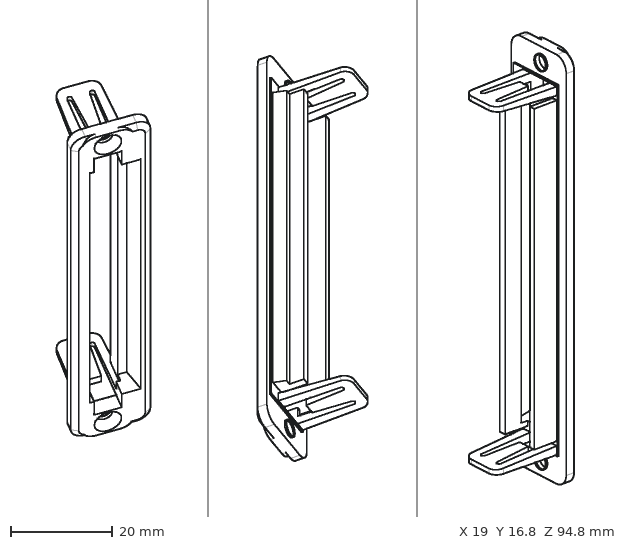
import cadquery as cq

plate_length = 94.8
plate_width = 16.8
plate_thickness = 2.9
corner_radius = 3.0
bevel_depth = 1.4
bevel_width = 0.9

axis_y = -0.9

hole_diameter = 3.3
hole_to_end = 3.4
rim_diameter = 3.7
sink_start = 0.9
sink_diameter = 5.7

land_width = 11.6
land_corner_radius = 3.3

pad_height = 0.4
pad_length = 81.9
pad_left_y = 7.3
pad_right_y = -6.2

narrow_width = 5.8
wide_width = 7.6
wide_length = 72.9

overall_depth = 19.0
arm_outer_z = 40.7
arm_tip_thickness = 1.1
arm_root_thickness = 2.0
arm_tip_width = 9.3
arm_root_width = 10.2
arm_tip_radius = 2.1
tongue_end = 11.5
tongue_root_width = 3.8
tongue_tip_width = 2.6
slot_start = 2.5
slot_radius = 0.5

rail_length = 75.3
rail_height = 5.9
rail_thickness = 1.3
stepped_rail_thickness = 1.6
step_height = 2.7
step_top_y = 5.8
step_base_y = 6.5

channel_depth = 4.9
channel_inner_y = 4.8
channel_mouth_y = 6.1

pad_x = -pad_height
rail_tip_x = pad_x - rail_height
step_x = pad_x - step_height
channel_x = plate_thickness - channel_depth
hole_z = plate_length / 2 - hole_to_end
arm_tip_x = plate_thickness - overall_depth
opening_left_y = axis_y + wide_width / 2
opening_right_y = axis_y - wide_width / 2


def box(x_range, y_range, z_range):
    """Block between two X, two Y and two Z positions."""
    (x0, x1), (y0, y1), (z0, z1) = x_range, y_range, z_range
    return cq.Workplane("XY").box(x1 - x0, y1 - y0, z1 - z0, centered=False).translate((x0, y0, z0))


def disc(diameter, x_start, x_end, z):
    """Cylinder along X on the hole axis at height z."""
    return (
        cq.Workplane("YZ", origin=(x_start, axis_y, z))
        .circle(diameter / 2)
        .extrude(x_end - x_start)
    )


def rounded_slab(width, radius):
    """Plate-long, plate-thick slab with rounded corners, centred on Y = 0 and Z = 0."""
    return (
        cq.Workplane("YZ")
        .rect(width, plate_length)
        .extrude(plate_thickness)
        .edges("|X")
        .fillet(radius)
    )


def make_plate():
    """Rounded plate with a bevelled front edge, with the land, hole rims and pad added."""
    blank = rounded_slab(plate_width, corner_radius)
    land = rounded_slab(land_width, land_corner_radius).translate((0, axis_y, 0))
    plate = blank.faces(">X").chamfer(bevel_width, bevel_depth).union(land)
    for z in (hole_z, -hole_z):
        plate = plate.union(disc(rim_diameter, pad_x, 0, z))
    pad = box((pad_x, 0), (pad_right_y, pad_left_y), (-pad_length / 2, pad_length / 2))
    return plate.union(pad)


def make_opening():
    """Through cut: a long narrow slot widened over its middle stretch."""
    depth = (pad_x, plate_thickness)
    narrow_sides = (axis_y - narrow_width / 2, axis_y + narrow_width / 2)
    narrow = box(depth, narrow_sides, (-arm_outer_z, arm_outer_z))
    wide = box(depth, (opening_right_y, opening_left_y), (-wide_length / 2, wide_length / 2))
    return narrow.union(wide)


def make_arm():
    """Upper snap arm: a tapered fork with a tongue between its two prongs."""
    side = (
        cq.Workplane("XZ", origin=(0, plate_width, 0))
        .moveTo(arm_tip_x, arm_outer_z)
        .lineTo(pad_x, arm_outer_z)
        .lineTo(pad_x, arm_outer_z - arm_root_thickness)
        .lineTo(arm_tip_x, arm_outer_z - arm_tip_thickness)
        .close()
        .extrude(2 * plate_width)
    )
    flat = cq.Workplane("XY", origin=(arm_tip_x, axis_y, 0))
    length = pad_x - arm_tip_x
    fork = (
        flat.moveTo(0, -arm_tip_width / 2)
        .lineTo(length, -arm_root_width / 2)
        .lineTo(length, arm_root_width / 2)
        .lineTo(0, arm_tip_width / 2)
        .close()
        .extrude(plate_length / 2)
        .edges("|Z and <X")
        .fillet(arm_tip_radius)
    )
    gap = (
        flat.moveTo(slot_start, -narrow_width / 2)
        .lineTo(length, -narrow_width / 2)
        .lineTo(length, narrow_width / 2)
        .lineTo(slot_start, narrow_width / 2)
        .lineTo(slot_start, tongue_root_width / 2)
        .lineTo(tongue_end, tongue_tip_width / 2)
        .lineTo(tongue_end, -tongue_tip_width / 2)
        .lineTo(slot_start, -tongue_root_width / 2)
        .close()
        .extrude(plate_length / 2)
        .edges("|Z and <X")
        .fillet(slot_radius)
    )
    return side.intersect(fork).cut(gap)


def prism(points, length):
    """Solid along Z, centred on Z = 0, whose XY section is the given outline."""
    return cq.Workplane("XY").polyline(points).close().extrude(length / 2, both=True)


def make_plain_rail():
    """Rectangular rail along the -Y side of the opening."""
    outer_y = opening_right_y - rail_thickness
    return prism(
        [
            (pad_x, opening_right_y),
            (rail_tip_x, opening_right_y),
            (rail_tip_x, outer_y),
            (pad_x, outer_y),
        ],
        rail_length,
    )


def make_stepped_rail():
    """Rail along the +Y side of the opening, with a wider foot on the pad."""
    outer_y = opening_left_y + stepped_rail_thickness
    return prism(
        [
            (pad_x, opening_left_y),
            (rail_tip_x, opening_left_y),
            (rail_tip_x, outer_y),
            (step_x, outer_y),
            (step_x, step_top_y),
            (pad_x, step_base_y),
        ],
        rail_length,
    )


def make_channel():
    """Cut that hollows the foot of the stepped rail from the front."""
    return prism(
        [
            (channel_x, opening_left_y),
            (channel_x, channel_inner_y),
            (plate_thickness, channel_mouth_y),
            (plate_thickness, opening_left_y),
        ],
        wide_length,
    )


def make_hole(z):
    """Countersunk screw hole at height z."""
    sink = (
        cq.Workplane("YZ", origin=(sink_start, axis_y, z))
        .circle(hole_diameter / 2)
        .workplane(offset=plate_thickness - sink_start)
        .circle(sink_diameter / 2)
        .loft()
    )
    return disc(hole_diameter, pad_x, plate_thickness, z).union(sink)


arm = make_arm()
result = make_plate().cut(make_opening())
for piece in (arm, arm.mirror("XY"), make_plain_rail(), make_stepped_rail()):
    result = result.union(piece)
for cut in (make_channel(), make_hole(hole_z), make_hole(-hole_z)):
    result = result.cut(cut)